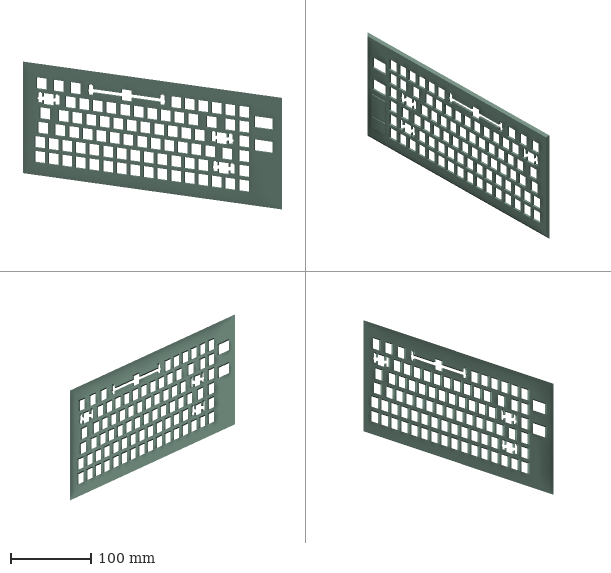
import math

import cadquery as cq


plate_length = 362.0
plate_height = 144.0
total_depth = 4.0
pad_depth = 1.25
plate_depth = total_depth - pad_depth
bevel_inset = 3.33
bevel_angle = math.degrees(math.atan2(bevel_inset, plate_depth))
front_y = -total_depth / 2

grid_columns = 16
grid_span = 285.5
pitch = grid_span / (grid_columns - 1)
web = 4.5
switch_size = pitch - web
left_margin = 15.5
bottom_margin = 16.3
first_column_x = -plate_length / 2 + left_margin + switch_size / 2
first_row_z = -plate_height / 2 + bottom_margin + switch_size / 2

stabiliser_half_width = 3.35
stabiliser_bottom = -5.8
stabiliser_top = 7.0
tab_width = 3.5
tab_top = 8.0
notch_reach = 4.5
notch_bottom = -2.3
notch_top = 0.5
wire_slot_half_height = 2.3
short_key_offset = 12.0
short_key_shift = 0.5
space_bar_offset = 50.0

LEFT = -1
RIGHT = 1

window_length = 26.0
window_height = switch_size
window_x = 155.0
window_rows_z = (36.2, 6.0)

pad_length = window_length
pad_ranges_z = ((-54.3, -38.7), (-36.5, -8.0))


def key_run(first, count):
    """Positions of neighbouring single-unit keys, in key units."""
    return [first + step for step in range(count)]


single_keys = (
    key_run(0, 16),
    key_run(0, 13) + [15],
    [0.25] + key_run(1.5, 12) + [13.75, 15],
    [0.375] + key_run(1.75, 11) + [15],
    key_run(2.25, 10) + [12.625, 14, 15],
    [0.125, 1.375, 2.625] + key_run(10, 6),
)

stabilised_keys = (
    (13.5, 1, short_key_offset, short_key_shift, (LEFT,)),
    (13.375, 3, short_key_offset, short_key_shift, (RIGHT,)),
    (0.625, 4, short_key_offset, short_key_shift, (LEFT,)),
    (6.375, 5, space_bar_offset, 0, (LEFT, RIGHT)),
)


def cutter(left, right, bottom, top):
    """Rectangular block that passes through the plate."""
    block = cq.Workplane("XY").box(right - left, 2 * total_depth, top - bottom)
    return block.translate(((left + right) / 2, 0, (bottom + top) / 2))


def key_centre(column, row):
    """X and Z of a key; columns and rows count from the lower left key."""
    return first_column_x + column * pitch, first_row_z + row * pitch


def switch_cutter(column, row):
    """Square hole for one switch."""
    x, z = key_centre(column, row)
    half = switch_size / 2
    return cutter(x - half, x + half, z - half, z + half)


def stabiliser_cutter(x, z):
    """One stabiliser pocket with a tab on top."""
    pocket = cutter(
        x - stabiliser_half_width,
        x + stabiliser_half_width,
        z + stabiliser_bottom,
        z + stabiliser_top,
    )
    tab = cutter(x - tab_width / 2, x + tab_width / 2, z, z + tab_top)
    return pocket.union(tab)


def notch_cutter(x, z, side):
    """Notch in the outer side of the stabiliser pocket centred at x, z."""
    left, right = sorted((x, x + side * notch_reach))
    return cutter(left, right, z + notch_bottom, z + notch_top)


def stabilised_key_cutter(column, row, offset, shift, notched_sides):
    """Switch hole joined by a wire slot to a stabiliser pocket on each side."""
    x, z = key_centre(column, row)
    middle = x + shift
    wire_slot = cutter(
        middle - offset,
        middle + offset,
        z - wire_slot_half_height,
        z + wire_slot_half_height,
    )
    opening = switch_cutter(column, row).union(wire_slot)
    for side in (LEFT, RIGHT):
        opening = opening.union(stabiliser_cutter(middle + side * offset, z))
    for side in notched_sides:
        opening = opening.union(notch_cutter(middle + side * offset, z, side))
    return opening


def window_cutter(z):
    """Rectangular window right of the keys."""
    half_length = window_length / 2
    half_height = window_height / 2
    return cutter(window_x - half_length, window_x + half_length, z - half_height, z + half_height)


plate = (
    cq.Workplane("XZ", origin=(0, front_y, 0))
    .rect(plate_length, plate_height)
    .extrude(-plate_depth, taper=bevel_angle)
)

for pad_bottom, pad_top in pad_ranges_z:
    pad = cq.Workplane("XY").box(pad_length, total_depth, pad_top - pad_bottom)
    plate = plate.union(pad.translate((window_x, 0, (pad_bottom + pad_top) / 2)))

openings = [
    switch_cutter(column, row)
    for row, columns in enumerate(single_keys)
    for column in columns
]
openings += [stabilised_key_cutter(*key) for key in stabilised_keys]
openings += [window_cutter(window_z) for window_z in window_rows_z]

plate = plate.cut(cq.Workplane(cq.Compound.makeCompound([opening.val() for opening in openings])))
result = cq.Workplane(plate.solids().val())